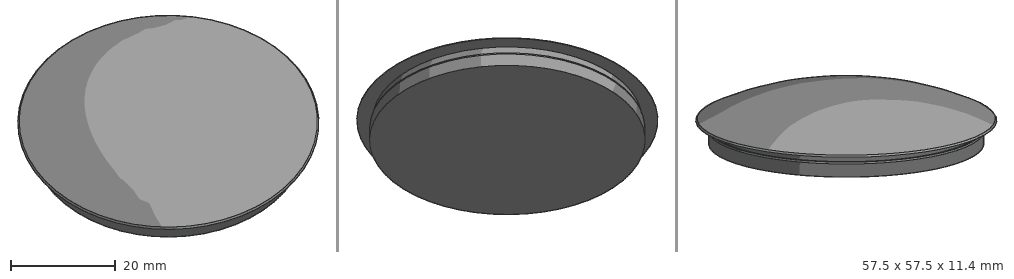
import cadquery as cq

flange_diameter = 57.5
total_height = 11.4
groove_diameter = 51.5
lip_diameter = 52.6
lip_height = 2.95
lip_bevel_width = 0.1
lip_bevel_height = 0.35
flange_bottom = 4.55
flange_edge_height = 0.35
dome_base_diameter = 56.9

flange_radius = flange_diameter / 2
groove_radius = groove_diameter / 2
lip_radius = lip_diameter / 2
dome_base_radius = dome_base_diameter / 2
flange_top = flange_bottom + flange_edge_height

dome_rise = total_height - flange_top
dome_radius = (dome_base_radius**2 + dome_rise**2) / (2 * dome_rise)
dome_centre_height = total_height - dome_radius
mid_radius = dome_base_radius / 2
mid_height = dome_centre_height + (dome_radius**2 - mid_radius**2) ** 0.5

half_section = (
    cq.Workplane("XZ")
    .lineTo(lip_radius, 0)
    .lineTo(lip_radius, lip_height - lip_bevel_height)
    .lineTo(lip_radius - lip_bevel_width, lip_height)
    .lineTo(groove_radius, lip_height)
    .lineTo(groove_radius, flange_bottom)
    .lineTo(flange_radius, flange_bottom)
    .lineTo(dome_base_radius, flange_top)
    .threePointArc((mid_radius, mid_height), (0, total_height))
    .close()
)

result = half_section.revolve(360, (0, 0, 0), (0, 1, 0))